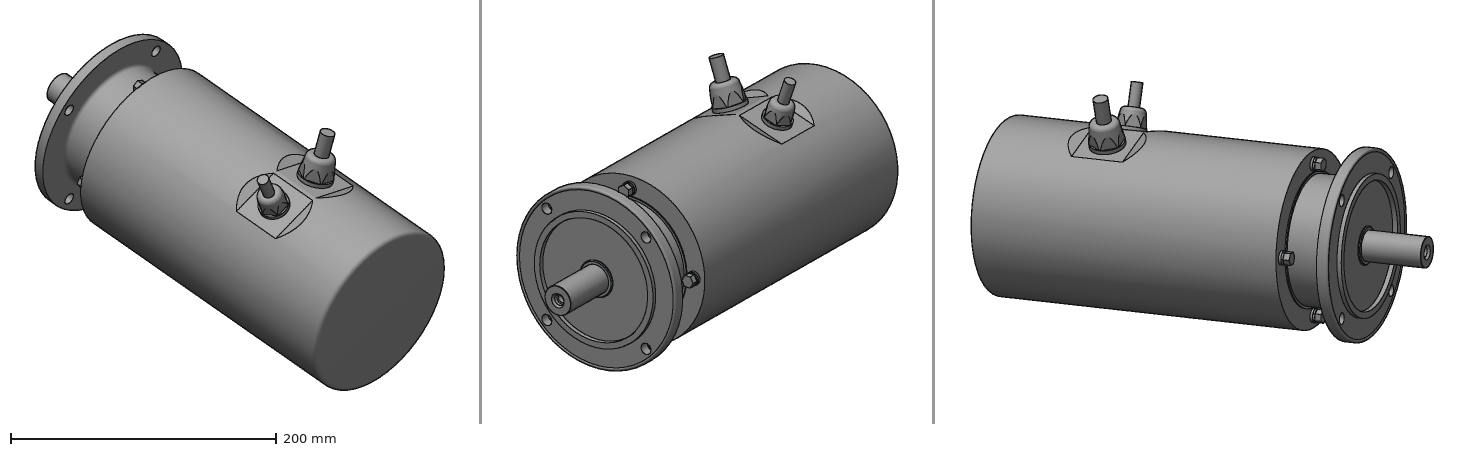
import cadquery as cq
import math


flange_diameter = 148.0
flange_thickness = 8.5
rim_bead_diameter = 3.0
rim_bead_height = 0.7
spigot_diameter = 110.0
spigot_height = 3.5
recess_diameter = 100.0
recess_depth = 4.0
neck_diameter = 101.0
neck_fillet = 3.0
flange_hole_diameter = 9.0
flange_hole_circle = 130.0
flange_hole_count = 4
flange_hole_start_angle = 45.0

shaft_diameter = 24.0
shaft_reach = 50.0
shaft_chamfer = 0.25
shaft_collar_diameter = 30.0
shaft_collar_height = 1.5
shaft_collar_chamfer = 0.75
center_hole_diameter = 6.99
center_sink_angle = 60.0
center_hole_mouth = 11.5
center_relief_diameter = 9.0
center_relief_depth = 5.0
center_hole_depth = 20.0
drill_point_angle = 118.0

overall_length = 348.0
housing_diameter = 138.0
housing_front = 44.1
shoulder_diameter = 105.0
shoulder_length = 1.0
housing_rear_radius = 3.5
rear_crown = 1.3

screw_count = 4
screw_circle = 118.0
screw_head_across_flats = 9.2
screw_head_height = 5.0
washer_diameter = 11.0
washer_height = 2.0
lock_washer_diameter = 10.6
lock_washer_height = 1.7

seat_tilt = 19.0
seat_x = 204.0
seat_distance = 65.8
seat_length = 42.0
seat_mouth_length = 60.0

gland_edge_radius = 4.0
gland_rim_height = 3.3

power_base_diameter = 28.0
power_top_diameter = 23.5
power_across_flats = 24.6
power_nut_height = 21.4
power_cable_diameter = 11.5
power_cable_height = 41.0

signal_base_diameter = 24.0
signal_top_diameter = 20.0
signal_across_flats = 20.5
signal_nut_height = 18.5
signal_cable_diameter = 9.0
signal_cable_height = 37.6

hexagon_half_angle = 30.0
rear_x = overall_length - shaft_reach
housing_radius = housing_diameter / 2


def disc(diameter, start, end):
    """A cylinder on the motor axis between two X positions."""
    return cq.Workplane("YZ").workplane(offset=start).circle(diameter / 2).extrude(end - start)


def make_flange():
    """Round flange with a rounded bead along the front rim and a recessed centering spigot."""
    bead_radius = rim_bead_diameter / 2
    bead_x = bead_radius - rim_bead_height
    ring_radius = flange_diameter / 2 - bead_radius
    bead = (
        cq.Workplane("XY")
        .center(bead_x, ring_radius)
        .circle(bead_radius)
        .revolve(360, (0, -ring_radius, 0), (1, -ring_radius, 0))
    )
    flange = disc(flange_diameter, bead_x, flange_thickness)
    flange = flange.union(disc(flange_diameter - rim_bead_diameter, 0, flange_thickness)).union(bead)
    flange = flange.union(disc(spigot_diameter, -spigot_height, flange_thickness))
    flange = flange.cut(disc(recess_diameter, -spigot_height, recess_depth - spigot_height))
    holes = (
        cq.Workplane("YZ")
        .polarArray(flange_hole_circle / 2, flange_hole_start_angle, 360, flange_hole_count)
        .circle(flange_hole_diameter / 2)
        .extrude(flange_thickness)
    )
    return flange.cut(holes)


def make_neck():
    """Neck with a concave fillet where it meets the flange."""
    radius = neck_diameter / 2
    root = radius + neck_fillet
    bend = neck_fillet * (1 - math.sqrt(0.5))
    return (
        cq.Workplane("XY")
        .moveTo(flange_thickness, 0)
        .lineTo(flange_thickness, root)
        .threePointArc(
            (flange_thickness + bend, radius + bend),
            (flange_thickness + neck_fillet, radius),
        )
        .lineTo(housing_front, radius)
        .lineTo(housing_front, 0)
        .close()
        .revolve(360, (0, 0, 0), (1, 0, 0))
    )


def make_housing():
    """Round housing with a rounded rear edge and a slightly crowned rear face."""
    crown_edge_x = rear_x - rear_crown
    crown_edge_radius = housing_radius - housing_rear_radius
    bend = housing_rear_radius * (1 - math.sqrt(0.5))
    crown_sphere = (crown_edge_radius**2 + rear_crown**2) / (2 * rear_crown)
    half_radius = crown_edge_radius / 2
    half_x = rear_x - crown_sphere + math.sqrt(crown_sphere**2 - half_radius**2)
    return (
        cq.Workplane("XY")
        .moveTo(housing_front, 0)
        .lineTo(housing_front, housing_radius)
        .lineTo(crown_edge_x - housing_rear_radius, housing_radius)
        .threePointArc(
            (crown_edge_x - bend, housing_radius - bend),
            (crown_edge_x, crown_edge_radius),
        )
        .threePointArc((half_x, half_radius), (rear_x, 0))
        .close()
        .revolve(360, (0, 0, 0), (1, 0, 0))
        .union(disc(shoulder_diameter, housing_front - shoulder_length, housing_front))
    )


def make_shaft():
    """Shaft with a chamfered collar standing on the floor of the spigot recess."""
    recess_floor = recess_depth - spigot_height
    shaft = disc(shaft_diameter, -shaft_reach, recess_floor).faces("<X").chamfer(shaft_chamfer)
    collar = disc(shaft_collar_diameter, recess_floor - shaft_collar_height, recess_floor)
    return shaft.union(collar.faces("<X").chamfer(shaft_collar_chamfer))


def make_center_hole():
    """Stepped hole in the shaft end with a countersunk mouth and a drill point."""
    mouth = center_hole_mouth / 2
    bore = center_hole_diameter / 2
    relief = center_relief_diameter / 2
    sink = (mouth - relief) / math.tan(math.radians(center_sink_angle / 2))
    step = (relief - bore) / math.tan(math.radians(drill_point_angle / 2))
    relief_end = center_relief_depth - shaft_reach
    point = bore / math.tan(math.radians(drill_point_angle / 2))
    bottom = center_hole_depth - shaft_reach
    return (
        cq.Workplane("XY")
        .moveTo(-shaft_reach, 0)
        .lineTo(-shaft_reach, mouth)
        .lineTo(-shaft_reach + sink, relief)
        .lineTo(relief_end, relief)
        .lineTo(relief_end + step, bore)
        .lineTo(bottom, bore)
        .lineTo(bottom + point, 0)
        .close()
        .revolve(360, (0, 0, 0), (1, 0, 0))
    )


def make_screws():
    """Hexagon heads, each on a lock washer and a plain washer."""
    corner_diameter = screw_head_across_flats / math.cos(math.radians(hexagon_half_angle))
    places = (
        cq.Workplane("YZ")
        .workplane(offset=housing_front)
        .polarArray(screw_circle / 2, 0, 360, screw_count)
    )
    stack = washer_height + lock_washer_height
    washers = places.circle(washer_diameter / 2).extrude(-washer_height)
    lock_washers = places.circle(lock_washer_diameter / 2).extrude(-stack)
    heads = places.polygon(6, corner_diameter).extrude(-stack - screw_head_height)
    return washers.union(lock_washers).union(heads)


def tilted(body, side):
    """Turn a body standing on +Z about the motor axis to the +Y (1) or -Y (-1) side."""
    return body.rotate((0, 0, 0), (1, 0, 0), -side * seat_tilt)


def make_seat_cut():
    """Flat seat with sloping ends, cut across the top of the housing."""
    half_floor = seat_length / 2
    half_mouth = seat_mouth_length / 2
    return (
        cq.Workplane("XZ", origin=(seat_x, 0, 0))
        .moveTo(-half_floor, seat_distance)
        .lineTo(half_floor, seat_distance)
        .lineTo(half_mouth, housing_radius)
        .lineTo(-half_mouth, housing_radius)
        .close()
        .extrude(housing_radius, both=True)
    )


def make_motor():
    motor = make_flange().union(make_neck()).union(make_housing()).union(make_screws())
    motor = motor.union(make_shaft()).cut(make_center_hole())
    for side in (1, -1):
        motor = motor.cut(tilted(make_seat_cut(), side))
    return motor


def make_gland(side, base_diameter, top_diameter, across_flats, height, cable_diameter, cable_height):
    """Conical gland nut with six flats above its rim, and the cable that leaves it."""
    edge = gland_edge_radius
    base = base_diameter / 2
    top = top_diameter / 2
    shoulder = height - edge
    bend = edge * (1 - math.sqrt(0.5))
    nut = (
        cq.Workplane("XZ")
        .lineTo(base, 0)
        .lineTo(base, gland_rim_height)
        .lineTo(top, shoulder)
        .threePointArc((top - bend, height - bend), (top - edge, height))
        .lineTo(0, height)
        .close()
        .revolve(360, (0, 0, 0), (0, 1, 0))
    )
    flats = (
        cq.Workplane("XY")
        .workplane(offset=gland_rim_height)
        .circle(base_diameter)
        .polygon(6, across_flats / math.cos(math.radians(hexagon_half_angle)))
        .extrude(height)
        .rotate((0, 0, 0), (0, 0, 1), hexagon_half_angle)
    )
    cable = cq.Workplane("XY").circle(cable_diameter / 2).extrude(cable_height)
    gland = nut.cut(flats).union(cable)
    return tilted(gland.translate((seat_x, 0, seat_distance)), side)


motor = make_motor()
power_gland = make_gland(
    1,
    power_base_diameter,
    power_top_diameter,
    power_across_flats,
    power_nut_height,
    power_cable_diameter,
    power_cable_height,
)
signal_gland = make_gland(
    -1,
    signal_base_diameter,
    signal_top_diameter,
    signal_across_flats,
    signal_nut_height,
    signal_cable_diameter,
    signal_cable_height,
)

bodies = [motor, power_gland, signal_gland]
result = cq.Compound.makeCompound([body.solids().val() for body in bodies])